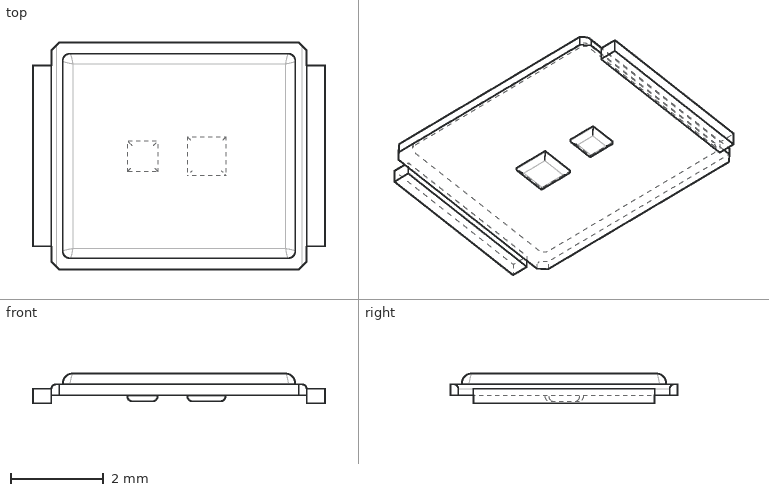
import cadquery as cq

overall_length = 6.3
overall_width = 4.9
overall_height = 0.65

lead_length = 0.4
lead_width = 3.905
lead_height = 0.32

plate_length = overall_length - 2 * lead_length
plate_bottom = 0.175
plate_top = 0.415
plate_corner_chamfer = 0.17
plate_edge_radius = 0.1

lid_inset = 0.245
lid_corner_radius = 0.15
lid_edge_radius = 0.215

pads = [(-0.79, 0.655), (0.59, 0.825)]
pad_bottom = 0.045
pad_edge_radius = 0.115


def block(length, width, bottom, top, center_x=0):
    """Box centred on Y = 0 between two heights."""
    return (
        cq.Workplane("XY", origin=(center_x, 0, bottom))
        .rect(length, width)
        .extrude(top - bottom)
    )


def make_plate():
    plate = block(plate_length, overall_width, plate_bottom, plate_top)
    plate = plate.edges("|Z").chamfer(plate_corner_chamfer)
    return plate.faces(">Z").edges("<X or >X").fillet(plate_edge_radius)


def make_lid():
    lid = block(
        plate_length - 2 * lid_inset,
        overall_width - 2 * lid_inset,
        plate_top,
        overall_height,
    )
    lid = lid.edges("|Z").fillet(lid_corner_radius)
    return lid.faces(">Z").edges().fillet(lid_edge_radius)


def make_pad(center_x, side):
    pad = block(side, side, pad_bottom, plate_bottom, center_x)
    return pad.faces("<Z").edges().fillet(pad_edge_radius)


result = make_plate().union(make_lid())
for pad_x, pad_side in pads:
    result = result.union(make_pad(pad_x, pad_side))
for direction in (-1, 1):
    lead_x = direction * (overall_length - lead_length) / 2
    result = result.union(block(lead_length, lead_width, 0, lead_height, lead_x))